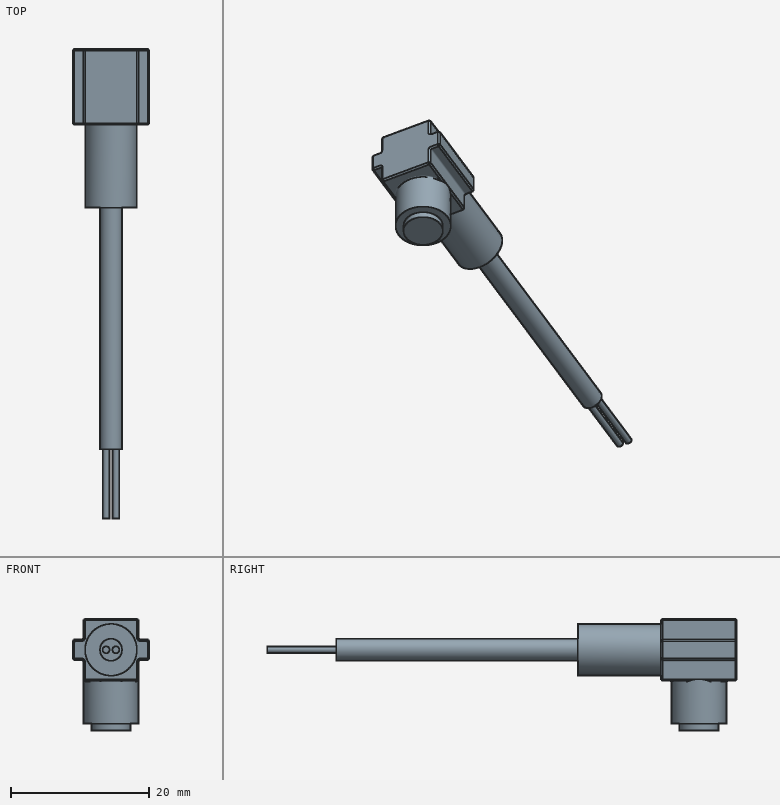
import cadquery as cq

body_width = 8.0
body_length = 11.0
body_height = 9.0
edge_chamfer = 0.25

wing_span = 11.1
wing_height = 3.0
wing_root_radius = 0.25

collar_diameter = 7.5
collar_length = 12.0
cable_diameter = 3.2
cable_length = 35.0
wire_diameter = 1.0
wire_length = 10.0
wire_spacing = 1.41

plug_diameter = 8.0
plug_length = 6.2
tip_diameter = 5.7
tip_length = 1.0
plug_root_radius = 0.15

body_middle_y = body_length / 2
body_bottom = -body_height / 2
plug_bottom = body_bottom - plug_length

selection_margin = 0.1


def centred_box_selector(width, length, height, centre=(0, 0, 0)):
    """Selector for edges whose middle lies within a box, allowing a small margin."""
    half_sizes = [size / 2 + selection_margin for size in (width, length, height)]
    low = tuple(c - h for c, h in zip(centre, half_sizes))
    high = tuple(c + h for c, h in zip(centre, half_sizes))
    return cq.selectors.BoxSelector(low, high)


def make_housing():
    """Block with a wing on each side, chamfered outside and filleted at the wing roots."""
    block = cq.Workplane("XY").box(body_width, body_length, body_height)
    wings = cq.Workplane("XY").box(wing_span, body_length, wing_height)
    wing_roots = centred_box_selector(body_width, body_length, wing_height)
    housing = block.union(wings)
    housing = housing.edges("|Y").edges(wing_roots).fillet(wing_root_radius)
    housing = housing.edges("|Y").edges(">X or <X").chamfer(edge_chamfer)
    housing = housing.edges("|Y").edges(">Z or <Z").chamfer(edge_chamfer)
    housing = housing.faces("<Y or >Y").edges().chamfer(edge_chamfer)
    return housing.translate((0, body_middle_y, 0))


def make_rod(diameter, start_y, length, x=0.0):
    """Cylinder running towards -Y from start_y."""
    return cq.Workplane("XZ", origin=(x, start_y, 0)).circle(diameter / 2).extrude(length)


def make_cable():
    """Collar, sheathed cable and the two wires."""
    cable = make_rod(collar_diameter, body_middle_y, body_middle_y + collar_length)
    cable = cable.union(make_rod(cable_diameter, -collar_length, cable_length))
    cable_end = -collar_length - cable_length
    for side in (-1, 1):
        wire = make_rod(wire_diameter, cable_end, wire_length, side * wire_spacing / 2)
        cable = cable.union(wire)
    return cable


def make_plug():
    """Round plug with a stepped-down tip, reaching up to the cable axis."""
    plane = cq.Workplane("XY", origin=(0, body_middle_y, plug_bottom))
    plug = plane.circle(plug_diameter / 2).extrude(-plug_bottom)
    tip = plane.circle(tip_diameter / 2).extrude(-tip_length)
    return plug.union(tip)


def fillet_plug_root(part):
    """Round the arcs where the plug meets the flat underside of the housing."""
    root_centre = (0, body_middle_y, body_bottom)
    plug_root = centred_box_selector(plug_diameter, plug_diameter, 0, root_centre)
    return part.edges(plug_root).edges("%CIRCLE").fillet(plug_root_radius)


connector = make_housing().union(make_cable()).union(make_plug())
result = fillet_plug_root(connector)